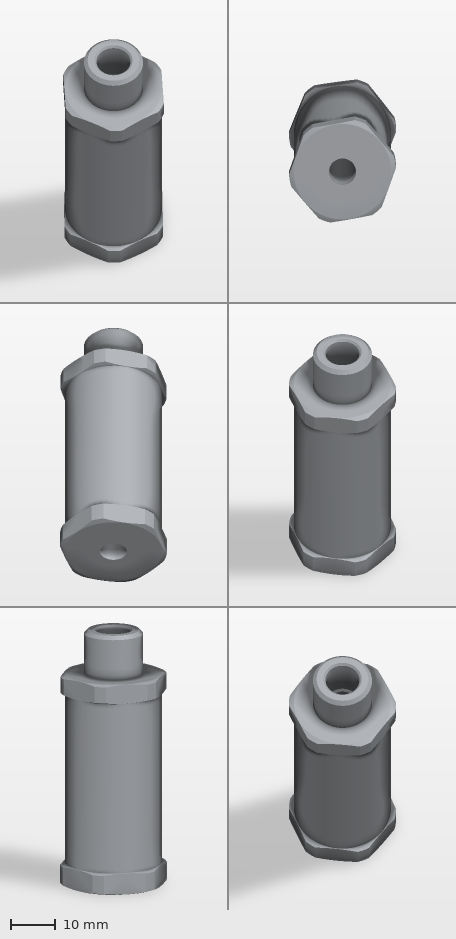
import cadquery as cq
import math

total_height = 58.5
base_hex_height = 5.0
collar_height = 4.5
neck_height = 10.0
collar_bottom = total_height - neck_height - collar_height

across_flats = 22.0
corner_diameter = 24.0
chamfer_face_diameter = 21.75
chamfer_angle = 20.0
collar_turn = 2.4

barrel_diameter = 21.75
neck_diameter = 13.2
neck_chamfer = 0.8

through_diameter = 6.0
counterbore_diameter = 7.6
counterbore_depth = neck_height
counterbore_chamfer = 0.45


def hexagon(bottom, height):
    """Hexagonal prism, corners on the Y axis, with rounded corners and conical ends."""
    corner_radius = corner_diameter / 2
    face_radius = chamfer_face_diameter / 2
    chamfer_height = (corner_radius - face_radius) * math.tan(math.radians(chamfer_angle))
    prism = (
        cq.Workplane("XY")
        .polygon(6, across_flats / math.cos(math.radians(30)))
        .extrude(height)
        .rotate((0, 0, 0), (0, 0, 1), 30)
    )
    envelope = (
        cq.Workplane("XZ")
        .moveTo(0, 0)
        .lineTo(face_radius, 0)
        .lineTo(corner_radius, chamfer_height)
        .lineTo(corner_radius, height - chamfer_height)
        .lineTo(face_radius, height)
        .lineTo(0, height)
        .close()
        .revolve(360, (0, 0, 0), (0, 1, 0))
    )
    return prism.intersect(envelope).translate((0, 0, bottom))


def cylinder(diameter, bottom, top):
    return cq.Workplane("XY", origin=(0, 0, bottom)).circle(diameter / 2).extrude(top - bottom)


def make_housing():
    """Barrel standing on a hexagonal base, with the through bore."""
    barrel = cylinder(barrel_diameter, base_hex_height, collar_bottom)
    bore = cylinder(through_diameter, 0, collar_bottom)
    return hexagon(0, base_hex_height).union(barrel).cut(bore)


def make_fitting():
    """Hexagonal collar with a chamfered neck and a counterbored passage."""
    collar = hexagon(collar_bottom, collar_height)
    neck = cylinder(neck_diameter, collar_bottom + collar_height, total_height)
    neck = neck.faces(">Z").edges().chamfer(neck_chamfer)
    bore = cylinder(through_diameter, collar_bottom, total_height)
    counterbore = cylinder(counterbore_diameter, total_height - counterbore_depth, total_height)
    fitting = collar.union(neck).cut(bore).cut(counterbore)
    mouth = fitting.faces(">Z").edges(cq.selectors.RadiusNthSelector(0))
    fitting = mouth.chamfer(counterbore_chamfer)
    return fitting.rotate((0, 0, 0), (0, 0, 1), collar_turn)


housing = make_housing()
fitting = make_fitting()

result = cq.Compound.makeCompound([housing.val(), fitting.val()])